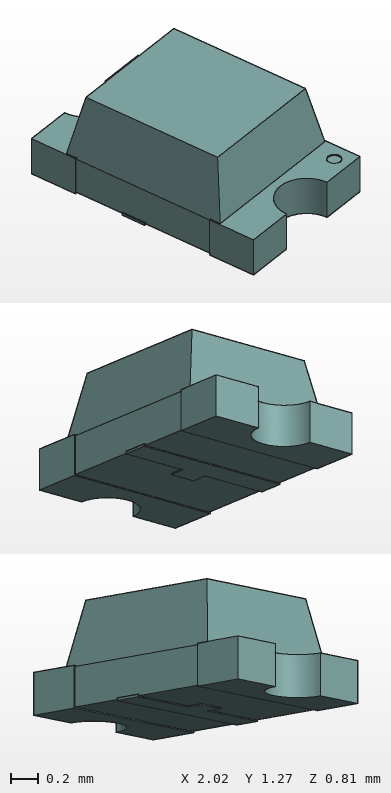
import cadquery as cq

LENGTH = 2.02
WIDTH = 1.27
HEIGHT = 0.81

TERMINAL_LENGTH = 0.4
TERMINAL_HEIGHT = 0.317
TERMINAL_STEP = 0.009
NOTCH_RADIUS = 0.24

DIMPLE_DIAMETER = 0.11
DIMPLE_DEPTH = 0.01
DIMPLE_X = 0.879
DIMPLE_Y = 0.499

BOARD_LENGTH = LENGTH - 2 * TERMINAL_LENGTH
BOARD_WIDTH = WIDTH - 2 * TERMINAL_STEP
BOARD_BOTTOM = TERMINAL_STEP
BOARD_TOP = TERMINAL_HEIGHT - TERMINAL_STEP

LENS_TOP_LENGTH = 1.198
LENS_TOP_WIDTH = 1.048
LENS_INSET = (BOARD_WIDTH - LENS_TOP_WIDTH) / 2
LENS_BASE_LENGTH = LENS_TOP_LENGTH + 2 * LENS_INSET
LENS_BASE_WIDTH = BOARD_WIDTH

MARK_THICKNESS = 0.02
MARK_LEFT = -0.188
MARK_BAR_LENGTH = 0.208
MARK_STEM_LENGTH = 0.131
MARK_STEM_WIDTH = MARK_BAR_LENGTH


def block(x_start, length, width, bottom, top):
    """Rectangular block centred on Y."""
    return (
        cq.Workplane("XY", origin=(x_start + length / 2, 0, bottom))
        .rect(length, width)
        .extrude(top - bottom)
    )


def make_terminal(side):
    """Solid end block with a half-round notch; side is -1 or +1 along X."""
    outer_x = side * LENGTH / 2
    x_start = min(outer_x, outer_x - side * TERMINAL_LENGTH)
    body = block(x_start, TERMINAL_LENGTH, WIDTH, 0, TERMINAL_HEIGHT)
    notch = cq.Workplane("XY").center(outer_x, 0).circle(NOTCH_RADIUS).extrude(TERMINAL_HEIGHT)
    return body.cut(notch)


def cut_dimple(terminal):
    dimple = (
        cq.Workplane("XY", origin=(DIMPLE_X, DIMPLE_Y, TERMINAL_HEIGHT))
        .circle(DIMPLE_DIAMETER / 2)
        .extrude(-DIMPLE_DEPTH)
    )
    return terminal.cut(dimple)


def make_polarity_mark():
    """Bar across the full width with a short stem toward +X."""
    bar = block(MARK_LEFT, MARK_BAR_LENGTH, WIDTH, 0, MARK_THICKNESS)
    stem_start = MARK_LEFT + MARK_BAR_LENGTH
    stem = block(stem_start, MARK_STEM_LENGTH, MARK_STEM_WIDTH, 0, MARK_THICKNESS)
    return bar.union(stem)


def make_board(mark):
    """Plain board with a matching recess for the polarity mark."""
    return block(-BOARD_LENGTH / 2, BOARD_LENGTH, BOARD_WIDTH, BOARD_BOTTOM, BOARD_TOP).cut(mark)


def make_lens(terminals):
    """Tapered block on the board, relieved underneath where it rests on the terminals."""
    lens = (
        cq.Workplane("XY", origin=(0, 0, BOARD_TOP))
        .rect(LENS_BASE_LENGTH, LENS_BASE_WIDTH)
        .workplane(offset=HEIGHT - BOARD_TOP)
        .rect(LENS_TOP_LENGTH, LENS_TOP_WIDTH)
        .loft(ruled=True)
    )
    for terminal in terminals:
        lens = lens.cut(terminal)
    return lens


left_terminal, right_terminal = [make_terminal(side) for side in (-1, 1)]
terminals = [left_terminal, cut_dimple(right_terminal)]
polarity_mark = make_polarity_mark()
board = make_board(polarity_mark)
lens = make_lens(terminals)

bodies = [board, lens, polarity_mark, *terminals]
result = cq.Compound.makeCompound([body.solids().val() for body in bodies])